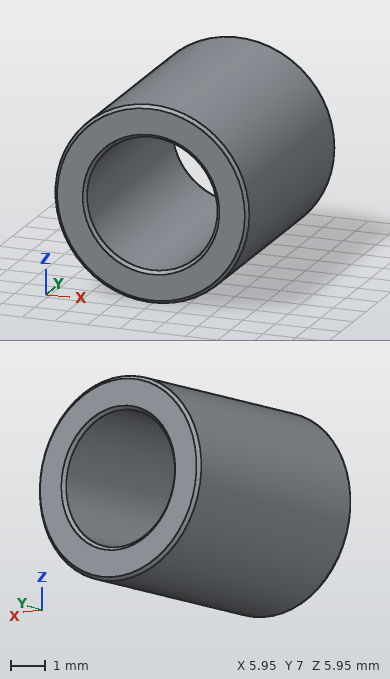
import cadquery as cq

length = 7.0
outer_diameter = 5.95
bore_diameter = 4.0
edge_chamfer = 0.1

bushing = (
    cq.Workplane("XZ", origin=(0, length / 2, 0))
    .circle(outer_diameter / 2)
    .circle(bore_diameter / 2)
    .extrude(length)
)

result = bushing.faces("<Y or >Y").edges().chamfer(edge_chamfer)